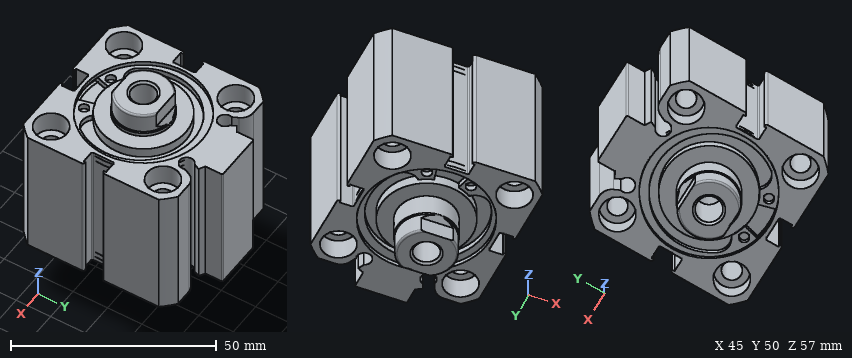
import cadquery as cq
import math


HOUSING_WIDTH = 45.0
HOUSING_HALF = HOUSING_WIDTH / 2
HOUSING_DEPTH = 50.0
HOUSING_HEIGHT = 38.0
CORNER_RADIUS = 29.45
MIDDLE_Z = HOUSING_HEIGHT / 2

RAIL_WIDTH = 13.9
RAIL_TOP_Y = HOUSING_DEPTH - HOUSING_HALF
RAIL_EDGE_FILLET = 0.4
NOTCH_X = 8.55
NOTCH_Y = 18.1
NOTCH_RADIUS = 2.0
NOTCH_NECK_HALF = 1.4
NOTCH_TILT = 25.0
NOTCH_BARB_REACH = 3.15
NOTCH_SHOULDER_RADIUS = 3.6

SLOT_FLOOR = 18.0
SLOT_WIDTH = 6.5
SLOT_MOUTH_WIDTH = 5.25
SLOT_LIP = 0.8
SLOT_LIP_FILLET = 0.6
SLOT_FLOOR_FILLET = 0.35

BOLT_SPACING = 32.5
BOLT_HOLE_DIAMETER = 5.1
COUNTERBORE_DIAMETER = 9.0
COUNTERBORE_DEPTH = 6.0

BORE_RADIUS = 17.0
GROOVE_RADIUS = 17.9
RING_TOP_DEPTH = 1.2
RING_THICKNESS = 1.65
COVER_DEPTH = RING_TOP_DEPTH + RING_THICKNESS

COVER_FLANGE_THICKNESS = 5.7
COLLAR_RADIUS = 12.25

RING_WINDOW_RADIUS = 15.45
RING_WINDOW_OFFSET = 0.95
RING_LUG_INNER_RADIUS = 12.4
RING_WINDOW_END_RADIUS = 3.75
RING_WINDOW_END_ANGLE = 54.5
RING_GAP_HALF_ANGLE = 15.0
RING_HOLE_RADIUS = 14.7
RING_HOLE_ANGLE = 23.5
RING_HOLE_DIAMETER = 2.6
TOP_RING_TURN = -0.7

ROD_RADIUS = 8.0
ROD_TOP_REACH = 7.0
ROD_BOTTOM_REACH = 11.95
ROD_TOP_Z = HOUSING_HEIGHT + ROD_TOP_REACH
ROD_LENGTH = ROD_BOTTOM_REACH + HOUSING_HEIGHT + ROD_TOP_REACH
ROD_MIDDLE_Z = ROD_TOP_Z - ROD_LENGTH / 2
NECK_RADIUS = 7.75
NECK_LENGTH = 5.65
NECK_CONE_LENGTH = 0.35
ROD_END_FILLET = 0.5
WRENCH_WIDTH = 13.0
WRENCH_LENGTH = 4.5
ROD_HOLE_RADIUS = 3.39
ROD_HOLE_CHAMFER = 0.6
ROD_HOLE_DEPTH = 13.0
DRILL_POINT_ANGLE = 118.0


def polar(radius, angle, center=(0, 0)):
    """Point at a radius and an angle, in degrees from +X, about a center."""
    turn = math.radians(angle)
    return (center[0] + radius * math.cos(turn), center[1] + radius * math.sin(turn))


def mirrored(point):
    """The same point on the other side of the YZ plane."""
    return (-point[0], point[1])


def end_to_end(shape, middle_z):
    """Copy of a shape at the opposite Z end."""
    return shape.mirror("XY", (0, 0, middle_z))


def make_rail_notch():
    """Undercut notch at the -X root of the rail: a round pocket with a tilted neck."""
    center = (-NOTCH_X, NOTCH_Y)
    neck_angle = 90 + NOTCH_TILT
    neck_half_angle = math.degrees(math.asin(NOTCH_NECK_HALF / NOTCH_RADIUS))
    neck_outer = polar(NOTCH_RADIUS, neck_angle + neck_half_angle, center)
    neck_inner = polar(NOTCH_RADIUS, neck_angle - neck_half_angle, center)
    pocket_bottom = polar(NOTCH_RADIUS, neck_angle + 180, center)
    barb_tip = polar(NOTCH_NECK_HALF, NOTCH_TILT, polar(NOTCH_BARB_REACH, neck_angle, center))

    rise = HOUSING_HALF - neck_outer[1]
    corner_x = neck_outer[0] - rise * math.tan(math.radians(NOTCH_TILT))
    shoulder_turn = 90 - NOTCH_TILT
    tangent_length = NOTCH_SHOULDER_RADIUS * math.tan(math.radians(shoulder_turn / 2))
    shoulder_start = (corner_x - tangent_length, HOUSING_HALF)
    shoulder_center = (shoulder_start[0], HOUSING_HALF - NOTCH_SHOULDER_RADIUS)
    shoulder_middle = polar(NOTCH_SHOULDER_RADIUS, 90 - shoulder_turn / 2, shoulder_center)
    shoulder_end = polar(NOTCH_SHOULDER_RADIUS, 90 - shoulder_turn, shoulder_center)

    return (
        cq.Workplane("XY")
        .moveTo(*shoulder_start)
        .threePointArc(shoulder_middle, shoulder_end)
        .lineTo(*neck_outer)
        .threePointArc(pocket_bottom, neck_inner)
        .lineTo(*barb_tip)
        .lineTo(-RAIL_WIDTH / 2, HOUSING_HALF)
        .close()
        .extrude(HOUSING_HEIGHT)
    )


def make_side_slot():
    """T-slot that opens towards -Y, with its mouth edges flared round."""
    mouth_half = SLOT_MOUTH_WIDTH / 2
    lip_depth = HOUSING_HALF - SLOT_LIP
    chamber = (
        cq.Workplane("XY")
        .center(0, -(SLOT_FLOOR + lip_depth) / 2)
        .rect(SLOT_WIDTH, lip_depth - SLOT_FLOOR)
        .extrude(HOUSING_HEIGHT)
        .edges("|Z and >Y")
        .fillet(SLOT_FLOOR_FILLET)
    )
    flare_half = mouth_half + SLOT_LIP_FILLET
    flare_y = -HOUSING_HALF + SLOT_LIP_FILLET
    flare_left = polar(SLOT_LIP_FILLET, -45, (-flare_half, flare_y))
    mouth = (
        cq.Workplane("XY")
        .moveTo(-flare_half, -HOUSING_HALF)
        .threePointArc(flare_left, (-mouth_half, flare_y))
        .lineTo(-mouth_half, -lip_depth)
        .lineTo(mouth_half, -lip_depth)
        .lineTo(mouth_half, flare_y)
        .threePointArc(mirrored(flare_left), (flare_half, -HOUSING_HALF))
        .close()
        .extrude(HOUSING_HEIGHT)
    )
    return chamber.union(mouth)


def make_housing():
    """Extruded cylinder body with rail, slots, mounting holes, bore and ring grooves."""
    body = cq.Workplane("XY").rect(HOUSING_WIDTH, HOUSING_WIDTH).extrude(HOUSING_HEIGHT)
    body = body.intersect(cq.Workplane("XY").circle(CORNER_RADIUS).extrude(HOUSING_HEIGHT))
    rail = (
        cq.Workplane("XY")
        .center(0, (HOUSING_HALF + RAIL_TOP_Y) / 2)
        .rect(RAIL_WIDTH, RAIL_TOP_Y - HOUSING_HALF)
        .extrude(HOUSING_HEIGHT)
        .edges("|Z and >Y")
        .fillet(RAIL_EDGE_FILLET)
    )
    body = body.union(rail)
    notch = make_rail_notch()
    body = body.cut(notch).cut(notch.mirror("YZ"))

    slot = make_side_slot()
    for turn in (-90, 0, 90):
        body = body.cut(slot.rotate((0, 0, 0), (0, 0, 1), turn))

    bolt_places = cq.Workplane("XY").rect(BOLT_SPACING, BOLT_SPACING, forConstruction=True).vertices()
    body = body.cut(bolt_places.circle(BOLT_HOLE_DIAMETER / 2).extrude(HOUSING_HEIGHT))
    counterbores = bolt_places.circle(COUNTERBORE_DIAMETER / 2).extrude(COUNTERBORE_DEPTH)
    body = body.cut(counterbores).cut(end_to_end(counterbores, MIDDLE_Z))

    body = body.cut(cq.Workplane("XY").circle(BORE_RADIUS).extrude(HOUSING_HEIGHT))
    groove = (
        cq.Workplane("XY")
        .workplane(offset=RING_TOP_DEPTH)
        .circle(GROOVE_RADIUS)
        .extrude(RING_THICKNESS)
    )
    return body.cut(groove).cut(end_to_end(groove, MIDDLE_Z))


def make_bottom_cover():
    """Rod guide at the lower end: flange behind the ring, collar through the ring."""
    flange = (
        cq.Workplane("XY")
        .workplane(offset=COVER_DEPTH)
        .circle(BORE_RADIUS)
        .extrude(COVER_FLANGE_THICKNESS)
    )
    collar = cq.Workplane("XY").circle(COLLAR_RADIUS).extrude(COVER_DEPTH)
    rod_hole = cq.Workplane("XY").circle(ROD_RADIUS).extrude(HOUSING_HEIGHT)
    return flange.union(collar).cut(rod_hole)


def make_bottom_ring():
    """Snap ring with an eccentric opening and two lugs, each with a plier hole."""
    window_center = (0, -RING_WINDOW_OFFSET)
    end_direction = RING_WINDOW_END_ANGLE - 90
    end_center = polar(RING_WINDOW_RADIUS - RING_WINDOW_END_RADIUS, end_direction, window_center)
    window_tangent = polar(RING_WINDOW_RADIUS, end_direction, window_center)
    window_top = (0, RING_WINDOW_RADIUS - RING_WINDOW_OFFSET)

    end_distance = math.hypot(*end_center)
    end_bearing = math.degrees(math.atan2(end_center[1], end_center[0]))
    cosine = (end_distance**2 + RING_LUG_INNER_RADIUS**2 - RING_WINDOW_END_RADIUS**2) / (
        2 * end_distance * RING_LUG_INNER_RADIUS
    )
    lug_start_angle = end_bearing - math.degrees(math.acos(cosine))
    lug_start = polar(RING_LUG_INNER_RADIUS, lug_start_angle)
    start_bearing = math.degrees(math.atan2(lug_start[1] - end_center[1], lug_start[0] - end_center[0]))
    rounded_middle = polar(RING_WINDOW_END_RADIUS, (start_bearing + end_direction) / 2, end_center)

    gap_angle = RING_GAP_HALF_ANGLE - 90
    lug_middle = polar(RING_LUG_INNER_RADIUS, (lug_start_angle + gap_angle) / 2)
    lug_end = polar(RING_LUG_INNER_RADIUS, gap_angle)
    outer_end = polar(GROOVE_RADIUS, gap_angle)

    ring = (
        cq.Workplane("XY")
        .workplane(offset=RING_TOP_DEPTH)
        .moveTo(*outer_end)
        .lineTo(*lug_end)
        .threePointArc(lug_middle, lug_start)
        .threePointArc(rounded_middle, window_tangent)
        .threePointArc(window_top, mirrored(window_tangent))
        .threePointArc(mirrored(rounded_middle), mirrored(lug_start))
        .threePointArc(mirrored(lug_middle), mirrored(lug_end))
        .lineTo(*mirrored(outer_end))
        .threePointArc((0, GROOVE_RADIUS), outer_end)
        .close()
        .extrude(RING_THICKNESS)
    )
    hole_place = polar(RING_HOLE_RADIUS, RING_HOLE_ANGLE - 90)
    holes = (
        cq.Workplane("XY")
        .pushPoints([hole_place, mirrored(hole_place)])
        .circle(RING_HOLE_DIAMETER / 2)
        .extrude(HOUSING_HEIGHT)
    )
    return ring.cut(holes)


def make_rod_end_hole():
    """Tapping hole from the top of the rod, with an entry chamfer and a drill point."""
    floor_z = ROD_TOP_Z - ROD_HOLE_DEPTH
    point_length = ROD_HOLE_RADIUS / math.tan(math.radians(DRILL_POINT_ANGLE / 2))
    return (
        cq.Workplane("XZ")
        .moveTo(0, ROD_TOP_Z)
        .lineTo(ROD_HOLE_RADIUS + ROD_HOLE_CHAMFER, ROD_TOP_Z)
        .lineTo(ROD_HOLE_RADIUS, ROD_TOP_Z - ROD_HOLE_CHAMFER)
        .lineTo(ROD_HOLE_RADIUS, floor_z)
        .lineTo(0, floor_z - point_length)
        .close()
        .revolve(360, (0, 0, 0), (0, 1, 0))
    )


def make_wrench_flat():
    """Cutter for the -Y wrench flat at the top of the rod, run out at 45 degrees."""
    flat_y = -WRENCH_WIDTH / 2
    flat_z = ROD_TOP_Z - WRENCH_LENGTH
    runout = ROD_RADIUS - WRENCH_WIDTH / 2
    return (
        cq.Workplane("YZ")
        .moveTo(flat_y, ROD_TOP_Z)
        .lineTo(flat_y, flat_z)
        .lineTo(flat_y - runout, flat_z - runout)
        .lineTo(flat_y - runout, ROD_TOP_Z)
        .close()
        .extrude(ROD_RADIUS, both=True)
    )


def make_rod():
    """Through rod, alike at both ends: neck, wrench flats and tapping hole."""
    neck_z = ROD_TOP_Z - NECK_LENGTH
    upper_half = (
        cq.Workplane("XZ")
        .moveTo(0, ROD_MIDDLE_Z)
        .lineTo(ROD_RADIUS, ROD_MIDDLE_Z)
        .lineTo(ROD_RADIUS, neck_z - NECK_CONE_LENGTH)
        .lineTo(NECK_RADIUS, neck_z)
        .lineTo(NECK_RADIUS, ROD_TOP_Z)
        .lineTo(0, ROD_TOP_Z)
        .close()
        .revolve(360, (0, 0, 0), (0, 1, 0))
        .faces(">Z")
        .edges()
        .fillet(ROD_END_FILLET)
    )
    flat = make_wrench_flat()
    upper_half = upper_half.cut(flat).cut(flat.mirror("XZ")).cut(make_rod_end_hole())
    return upper_half.union(end_to_end(upper_half, ROD_MIDDLE_Z))


housing = make_housing()
rod = make_rod()

bottom_cover = make_bottom_cover()
bottom_ring = make_bottom_ring()
covers = [bottom_cover, end_to_end(bottom_cover, MIDDLE_Z)]
top_ring = end_to_end(bottom_ring, MIDDLE_Z).rotate((0, 0, 0), (0, 0, 1), TOP_RING_TURN)
rings = [bottom_ring, top_ring]

result = cq.Compound.makeCompound(
    [housing.val(), rod.val()] + [body.val() for body in covers + rings]
)